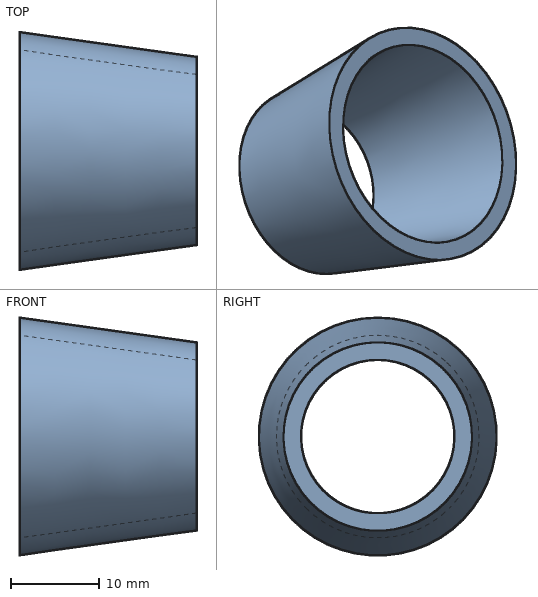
import cadquery as cq

length = 20.0
large_outer_diameter = 26.9
small_outer_diameter = 21.3
wall = 2.0

large_outer_radius = large_outer_diameter / 2
small_outer_radius = small_outer_diameter / 2


def conical_sleeve():
    """Revolve the wall section, drawn in the XZ plane, around the X axis."""
    wall_section = (
        cq.Workplane("XZ")
        .moveTo(0, large_outer_radius - wall)
        .lineTo(0, large_outer_radius)
        .lineTo(length, small_outer_radius)
        .lineTo(length, small_outer_radius - wall)
        .close()
    )
    return wall_section.revolve(360, (0, 0, 0), (1, 0, 0))


result = conical_sleeve()